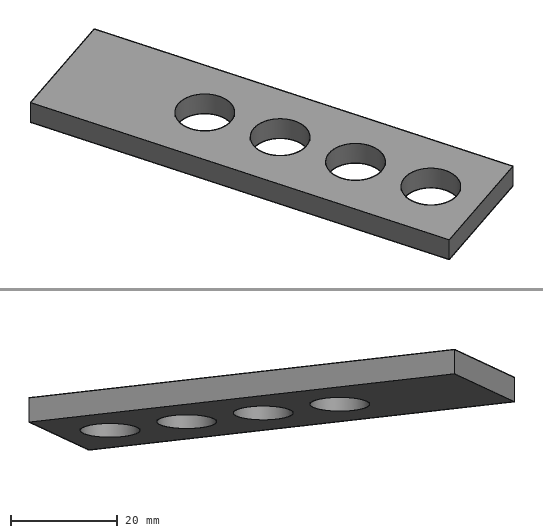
import cadquery as cq

length = 88.9
width = 25.4
thickness = 4.7

hole_diameter = 11.2
hole_count = 4
hole_pitch = 16.0
end_margin = 10.7

last_hole_x = length / 2 - end_margin
hole_centres = [(last_hole_x - i * hole_pitch, 0) for i in range(hole_count)]

bar = cq.Workplane("XY").box(length, width, thickness)

result = bar.faces(">Z").workplane().pushPoints(hole_centres).hole(hole_diameter)